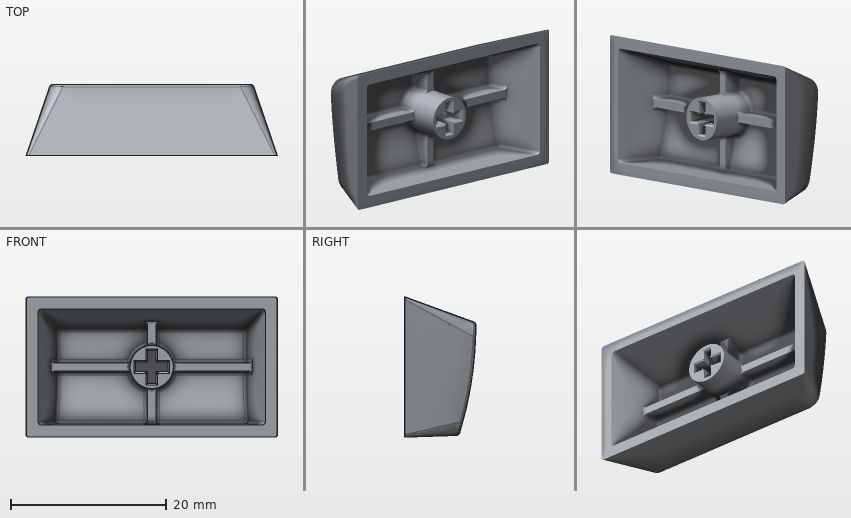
import cadquery as cq
import math

width = 32.4
height = 18.1
depth = 9.2

upper_wall_draft = 20.0
lower_wall_draft = 1.9
end_tilt = 8.0

rim_corner_radius = 0.32
outer_end_half_width = 12.83
outer_end_corner_radius = 2.0
outer_end_depth = 10.17
crown_radius = 47.6
crown_apex_z = 5.5
crown_edge_radius = 0.5

wall = 1.55
roof = 1.9
hollow_rim_corner_radius = 0.45
hollow_end_half_width = 11.95
hollow_end_corner_radius = 0.5
hollow_end_depth = 8.1
root_radius = 0.5

stem_radius = 2.8
stem_front = 0.75
rib_front = 4.57
rib_width = 1.07

socket_length = 4.2
upright_slot_width = 1.07
level_slot_width = 1.23
socket_chamfer = 0.2


def tapered_block(rim_width, rim_height, rim_radius, end_half_width, end_radius, end_depth):
    """Loft from a rounded rectangle in the XZ plane to a tilted one behind it."""
    tilt = math.radians(end_tilt)
    upper_slope = math.tan(math.radians(upper_wall_draft))
    lower_slope = math.tan(math.radians(lower_wall_draft))

    top_z = rim_height / 2 - end_depth * upper_slope
    lower_wall_z = -rim_height / 2 + end_depth * lower_slope
    end_height = (top_z - lower_wall_z) / (1 - lower_slope * math.tan(tilt))
    end_length = end_height / math.cos(tilt)
    end_plane = cq.Plane(
        origin=(0, end_depth - end_height * math.tan(tilt) / 2, top_z - end_height / 2),
        xDir=(1, 0, 0),
        normal=(0, -math.cos(tilt), math.sin(tilt)),
    )

    rim = cq.Sketch().rect(rim_width, rim_height).vertices().fillet(rim_radius)
    end = cq.Sketch().rect(2 * end_half_width, end_length).vertices().fillet(end_radius)
    rim_placed = rim.moved(cq.Plane.XZ().location)
    end_placed = end.moved(end_plane.location)
    return cq.Workplane("XY").placeSketch(rim_placed, end_placed).loft(ruled=True)


def crown_cylinder(radius):
    """Round bar along X whose surface limits the depth of the body or the hollow."""
    return (
        cq.Workplane("YZ", origin=(-width, depth - crown_radius, crown_apex_z))
        .circle(radius)
        .extrude(2 * width)
    )


def cross_bars(front, level_length, level_width, upright_length, upright_width):
    """Sketch of a level bar crossing an upright bar, in the XZ plane at depth front."""
    return (
        cq.Workplane("XZ", origin=(0, front, 0))
        .sketch()
        .rect(level_length, level_width)
        .rect(upright_width, upright_length)
        .finalize()
    )


def socket_outline(growth):
    """Socket outline at the stem front, widened on every side by growth."""
    length = socket_length + 2 * growth
    return cross_bars(stem_front, length, level_slot_width + 2 * growth,
                      length, upright_slot_width + 2 * growth)


def is_root_edge(edge):
    """True for edges reaching behind the rib fronts: floor outline, rib roots and stem roots."""
    box = edge.BoundingBox()
    tolerance = 0.03
    return box.ymin > rib_front - tolerance and box.ymax > rib_front + tolerance


body = tapered_block(width, height, rim_corner_radius, outer_end_half_width,
                     outer_end_corner_radius, outer_end_depth)
body = body.intersect(crown_cylinder(crown_radius))
crown_center_box = cq.selectors.BoxSelector((-stem_radius, depth / 2, -stem_radius),
                                            (stem_radius, 2 * depth, stem_radius))
body = body.faces(crown_center_box).edges().fillet(crown_edge_radius)

hollow = tapered_block(width - 2 * wall, height - 2 * wall, hollow_rim_corner_radius,
                       hollow_end_half_width, hollow_end_corner_radius, hollow_end_depth)
hollow = hollow.intersect(crown_cylinder(crown_radius - roof))

stem = cq.Workplane("XZ", origin=(0, stem_front, 0)).circle(stem_radius).extrude(-depth)
ribs = cross_bars(rib_front, width, rib_width, height, rib_width).extrude(-depth)
cavity = hollow.cut(stem).cut(ribs)
cavity = cavity.edges().filter(is_root_edge).fillet(root_radius)

socket = socket_outline(0).extrude(-depth).intersect(hollow)
socket_mouth = socket_outline(socket_chamfer).extrude(-socket_chamfer, taper=45)

result = body.cut(cavity).cut(socket).cut(socket_mouth)